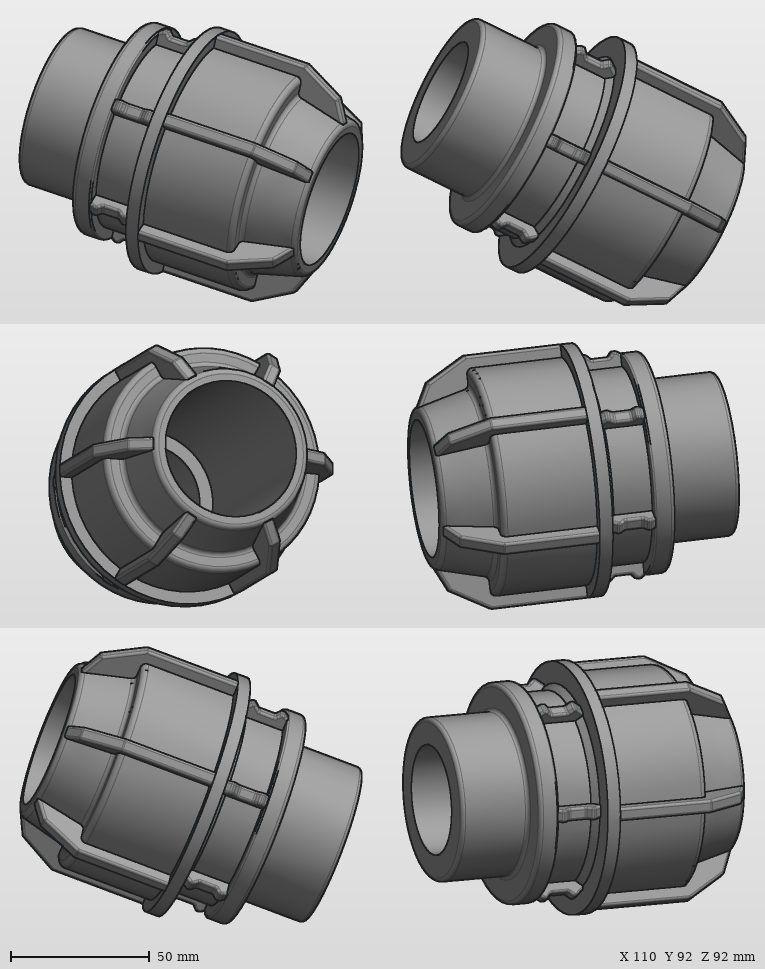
import cadquery as cq


spigot_end = 26.1
collar_end = 33.7
neck_end = 47.8
flange_start = 50.4
flange_end = 55.2
nut_end = 90.4
total_length = 110.0

spigot_radius = 59.6 / 2
collar_radius = 80.5 / 2
neck_radius = 35.6
neck_cone_radius = 38.0
flange_radius = 92.0 / 2
nut_radius = 41.5
tail_start_radius = 34.4
tail_end_radius = 29.4

spigot_face_round = 1.5
spigot_root_round = 1.4
collar_front_round = 1.5
collar_back_round = 0.7
nut_round = 2.2
nut_root_round = 2.0
tail_round = 2.2

through_bore_diameter = 40.0
pipe_bore_diameter = 50.0
through_bore_depth = 20.0

tolerance = 0.01

rib_count = 6
rib_thickness = 4.8
rib_edge_round = 1.0
rib_crease_round = 1.1
rib_embed_depth = 2.2
neck_rib_overlap = 0.5

nut_rib_radius = flange_radius
nut_rib_shoulder = (105.2, 37.7)
nut_rib_tip = (109.3, 29.4)

bump_radius = 41.2
saddle_radius = 39.4
neck_rib_start_radius = 40.0
neck_rib_end_radius = 38.9
first_bump_start = 34.9
first_bump_end = 36.4
saddle_start = 38.1
saddle_end = 44.3
second_bump_start = 46.4
second_bump_end = 47.5


def make_body():
    outline = [
        (0, 0),
        (0, spigot_radius),
        (spigot_end, spigot_radius),
        (spigot_end, collar_radius),
        (collar_end, collar_radius),
        (collar_end, neck_radius),
        (neck_end, neck_radius),
        (flange_start, neck_cone_radius),
        (flange_start, flange_radius),
        (flange_end, flange_radius),
        (flange_end, nut_radius),
        (nut_end, nut_radius),
        (nut_end, tail_start_radius),
        (total_length, tail_end_radius),
        (total_length, 0),
    ]
    rounds = [
        (0, spigot_radius, spigot_face_round),
        (spigot_end, spigot_radius, spigot_root_round),
        (spigot_end, collar_radius, collar_front_round),
        (collar_end, collar_radius, collar_back_round),
        (nut_end, nut_radius, nut_round),
        (nut_end, tail_start_radius, nut_root_round),
        (total_length, tail_end_radius, tail_round),
    ]
    profile = cq.Workplane("XY").polyline(outline).close()
    body = profile.revolve(360, (0, 0, 0), (1, 0, 0))
    for x, corner_radius, round_radius in rounds:
        ring = [
            edge
            for edge in body.edges("%CIRCLE").vals()
            if abs(edge.Center().x - x) < tolerance and abs(edge.radius() - corner_radius) < tolerance
        ]
        body = body.newObject(ring).fillet(round_radius)
    return body


def make_rib(crest, base_radius):
    """Plate under a crest line of (x, radius) points, with rounded creases and crest edges."""
    start_x = crest[0][0]
    end_x = crest[-1][0]
    outline = [(start_x, base_radius)] + crest + [(end_x, base_radius)]
    rib = cq.Workplane("XY").polyline(outline).close().extrude(rib_thickness / 2, both=True)

    crease_edges = [
        edge
        for edge in rib.edges("|Z").vals()
        if start_x + tolerance < edge.Center().x < end_x - tolerance
    ]
    rib = rib.newObject(crease_edges).fillet(rib_crease_round)

    crest_edges = [
        edge
        for edge in rib.faces("|Z").edges().vals()
        if min(edge.startPoint().y, edge.endPoint().y) > base_radius + tolerance
    ]
    return rib.newObject(crest_edges).fillet(rib_edge_round)


def make_nut_rib():
    crest = [
        (flange_end, nut_rib_radius),
        (nut_end, nut_rib_radius),
        nut_rib_shoulder,
        nut_rib_tip,
    ]
    return make_rib(crest, tail_end_radius - rib_embed_depth)


def make_neck_rib():
    crest = [
        (collar_end - neck_rib_overlap, neck_rib_start_radius),
        (first_bump_start, bump_radius),
        (first_bump_end, bump_radius),
        (saddle_start, saddle_radius),
        (saddle_end, saddle_radius),
        (second_bump_start, bump_radius),
        (second_bump_end, bump_radius),
        (flange_start, neck_rib_end_radius),
    ]
    return make_rib(crest, neck_radius - rib_embed_depth)


def make_bores():
    through_bore = cq.Workplane("YZ").circle(through_bore_diameter / 2).extrude(total_length)
    pipe_bore = (
        cq.Workplane("YZ", origin=(through_bore_depth, 0, 0))
        .circle(pipe_bore_diameter / 2)
        .extrude(total_length - through_bore_depth)
    )
    return through_bore.union(pipe_bore)


part = make_body()
for rib in (make_nut_rib(), make_neck_rib()):
    for index in range(rib_count):
        angle = index * 360 / rib_count
        part = part.union(rib.rotate((0, 0, 0), (1, 0, 0), angle))

result = part.cut(make_bores())